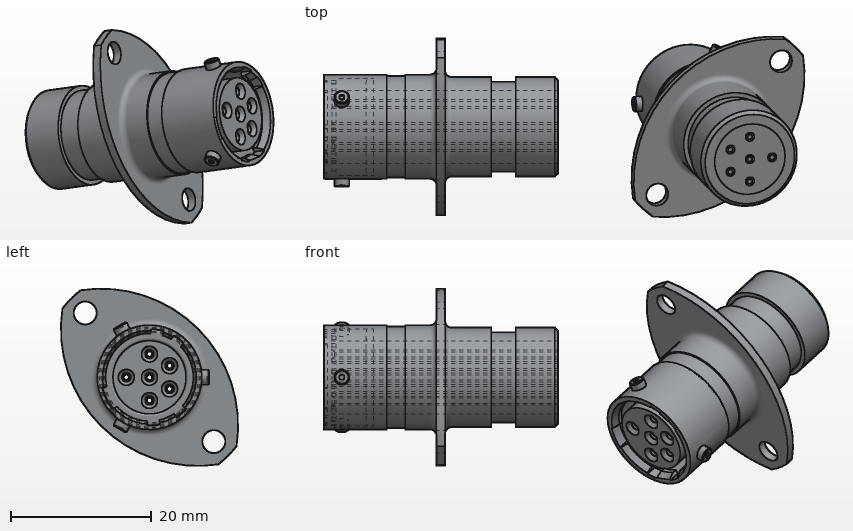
import cadquery as cq
import math

length = 33.3

barrel_radius = 7.43
barrel_groove_radius = 7.23
barrel_groove_start = 8.95
barrel_groove_end = 11.55
rear_radius = 7.1
rear_groove_radius = 6.43
rear_groove_start = 23.8
rear_groove_end = 27.25
rear_chamfer = 0.5

flange_front = 16.0
flange_thickness = 1.25
flange_rear = flange_front + flange_thickness
lens_arc_radius = 19.5
lens_arc_offset = 9.73
flange_tip_radius = 15.8
flange_tilt = 45.0
flange_root_fillet = 0.85
mount_hole_diameter = 3.23
mount_hole_distance = 12.92

mouth_radius = 6.65
lip_radius = 6.23
lip_taper_depth = 1.1
lip_depth = 1.73
seal_seat_radius = 6.9
seal_front = 6.0
seal_thickness = 1.0
seal_rear = seal_front + seal_thickness
seal_edge_fillet = 0.4

keyway_radius = 6.83
minor_key_width = 1.73
main_key_width = 3.25
keyways = [
    (99.5, minor_key_width),
    (127.5, minor_key_width),
    (228.5, minor_key_width),
    (265.0, minor_key_width),
    (333.0, main_key_width),
]

pin_position = 2.55
pin_diameter = 2.13
pin_tip_radius = 8.5
pin_tip_chamfer = 0.13
pin_dimple_diameter = 0.73
pin_dimple_depth = 0.33
pin_count = 3
first_pin_angle = 180.0

insert_front = 0.5
insert_radius = 5.2
contact_circle_radius = 3.3
contact_angles = [0.0, 90.0, 150.0, 210.0, 270.0]
contact_radius = 0.63
contact_bore_radius = 0.35
contact_lead_in_radius = 0.55
contact_lead_in_depth = 0.33
countersink_radius = 1.13
countersink_depth = 0.63
contact_front = insert_front + countersink_depth


def polar(radius, angle):
    """Point (y, z) at a radius and an angle in degrees from +Y towards +Z."""
    return radius * math.cos(math.radians(angle)), radius * math.sin(math.radians(angle))


def revolve_about_axis(profile):
    """Revolve a closed profile, drawn in x and radius, about the X axis."""
    return profile.close().revolve(360, (0, 0, 0), (1, 0, 0))


def disc(radius, start, end):
    return cq.Workplane("YZ", origin=(start, 0, 0)).circle(radius).extrude(end - start)


def shell_outside():
    """Turned outside of the shell, with a concave fillet on each side of the flange."""
    half_chord = flange_root_fillet * math.sqrt(0.5)
    front_root = barrel_radius + flange_root_fillet
    rear_root = rear_radius + flange_root_fillet
    profile = (
        cq.Workplane("XY")
        .moveTo(0, 0)
        .lineTo(0, barrel_radius)
        .lineTo(barrel_groove_start, barrel_radius)
        .lineTo(barrel_groove_start, barrel_groove_radius)
        .lineTo(barrel_groove_end, barrel_groove_radius)
        .lineTo(barrel_groove_end, barrel_radius)
        .lineTo(flange_front - flange_root_fillet, barrel_radius)
        .threePointArc(
            (flange_front - flange_root_fillet + half_chord, front_root - half_chord),
            (flange_front, front_root),
        )
        .lineTo(flange_rear, front_root)
        .lineTo(flange_rear, rear_root)
        .threePointArc(
            (flange_rear + flange_root_fillet - half_chord, rear_root - half_chord),
            (flange_rear + flange_root_fillet, rear_radius),
        )
        .lineTo(rear_groove_start, rear_radius)
        .lineTo(rear_groove_start, rear_groove_radius)
        .lineTo(rear_groove_end, rear_groove_radius)
        .lineTo(rear_groove_end, rear_radius)
        .lineTo(length - rear_chamfer, rear_radius)
        .lineTo(length, rear_radius - rear_chamfer)
        .lineTo(length, 0)
    )
    return revolve_about_axis(profile)


def flange():
    """Lens-shaped plate with a mounting hole near each tip, built flat and then tilted."""
    plate = disc(flange_tip_radius, flange_front, flange_rear)
    for side in (-1, 1):
        arc_disc = disc(lens_arc_radius, flange_front, flange_rear)
        plate = plate.intersect(arc_disc.translate((0, 0, side * lens_arc_offset)))
    for side in (-1, 1):
        hole = disc(mount_hole_diameter / 2, flange_front, flange_rear)
        plate = plate.cut(hole.translate((0, side * mount_hole_distance, 0)))
    return plate.rotate((0, 0, 0), (1, 0, 0), flange_tilt)


def shell_cavity():
    """Tapered mouth, straight lip, seal seat and the bore that holds the insert."""
    profile = (
        cq.Workplane("XY")
        .moveTo(0, 0)
        .lineTo(0, mouth_radius)
        .lineTo(lip_taper_depth, lip_radius)
        .lineTo(lip_depth, lip_radius)
        .lineTo(lip_depth, seal_seat_radius)
        .lineTo(seal_rear, seal_seat_radius)
        .lineTo(seal_rear, insert_radius)
        .lineTo(length, insert_radius)
        .lineTo(length, 0)
    )
    return revolve_about_axis(profile)


def keyway(angle, width):
    """Parallel-sided slot with a round floor, cut through the lip from the mouth into the seal seat."""
    slot_end = (lip_depth + seal_front) / 2
    block = cq.Workplane("XY").box(slot_end, seal_seat_radius, width, centered=(False, False, True))
    return block.rotate((0, 0, 0), (1, 0, 0), angle).intersect(disc(keyway_radius, 0, slot_end))


def bayonet_pin(angle):
    """Radial pin with a chamfered tip and a dimple, based inside the barrel wall."""
    base_radius = (seal_seat_radius + barrel_radius) / 2
    pin = (
        cq.Workplane("XY", origin=(pin_position, 0, base_radius))
        .circle(pin_diameter / 2)
        .extrude(pin_tip_radius - base_radius)
        .faces(">Z")
        .chamfer(pin_tip_chamfer)
        .faces(">Z")
        .workplane()
        .hole(pin_dimple_diameter, pin_dimple_depth)
    )
    return pin.rotate((0, 0, 0), (1, 0, 0), angle - 90)


def build_shell():
    body = shell_outside().union(flange())
    for i in range(pin_count):
        body = body.union(bayonet_pin(first_pin_angle + i * 360 / pin_count))
    body = body.cut(shell_cavity())
    for angle, width in keyways:
        body = body.cut(keyway(angle, width))
    return body


def build_seal():
    """Ring around the insert, with rounded front edges."""
    ring = disc(seal_seat_radius, seal_front, seal_rear).cut(disc(insert_radius, seal_front, seal_rear))
    return ring.faces("<X").edges().fillet(seal_edge_fillet)


def contact_places():
    return [(0, 0)] + [polar(contact_circle_radius, angle) for angle in contact_angles]


def build_insert():
    """Plug with a countersunk through hole for each contact."""
    plug = disc(insert_radius, insert_front, length)
    hole_profile = (
        cq.Workplane("XY")
        .moveTo(insert_front, 0)
        .lineTo(insert_front, countersink_radius)
        .lineTo(contact_front, contact_radius)
        .lineTo(length, contact_radius)
        .lineTo(length, 0)
    )
    hole = revolve_about_axis(hole_profile)
    for y, z in contact_places():
        plug = plug.cut(hole.translate((0, y, z)))
    return plug


def build_contact(y, z):
    """Tube with a conical lead-in, flush with the rear of the insert."""
    profile = (
        cq.Workplane("XY")
        .moveTo(contact_front, contact_radius)
        .lineTo(contact_front, contact_lead_in_radius)
        .lineTo(contact_front + contact_lead_in_depth, contact_bore_radius)
        .lineTo(length, contact_bore_radius)
        .lineTo(length, contact_radius)
    )
    return revolve_about_axis(profile).translate((0, y, z))


shell = build_shell()
seal = build_seal()
insert = build_insert()
contacts = [build_contact(y, z) for y, z in contact_places()]

result = cq.Compound.makeCompound(
    [shell.solids().val(), seal.solids().val(), insert.solids().val(), *[contact.val() for contact in contacts]]
)